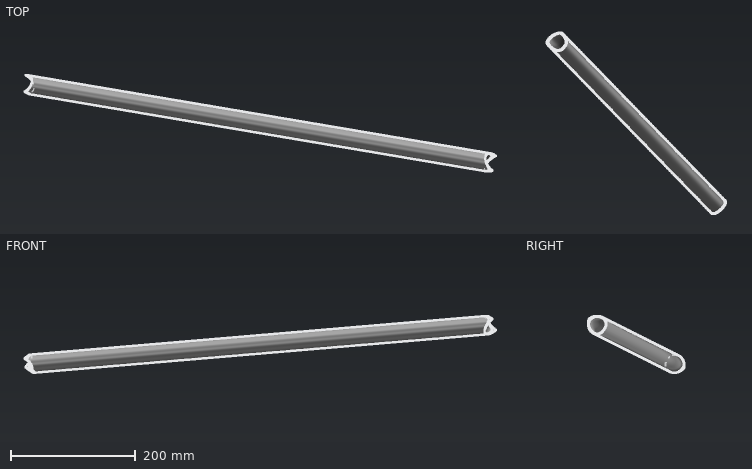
import cadquery as cq
tube_radius = 15.0
wall = 1.5

run_x = 754.4
run_y = -127.4
run_z = 63.9

near_upright_direction = cq.Vector(-0.125, 0.333, 0.943)
near_brace_direction = cq.Vector(-0.286, 0.934, 0.359)
far_upright_direction = cq.Vector(0.044, 0.587, 0.809)
near_brace_setback = 6.8

blank_overrun = 3 * tube_radius
cope_length = 12 * tube_radius

run = cq.Vector(run_x, run_y, run_z)
axis = run.normalized()
centre = cq.Vector(0, 0, 0)
near_node = run * -0.5
far_node = run * 0.5


def rod(middle, direction, radius, length):
    """Solid cylinder centred on a point, with its axis along a direction."""
    unit = direction.normalized()
    base = middle - unit * (length / 2)
    return cq.Workplane(cq.Solid.makeCylinder(radius, length, base, unit))


def tube_blank():
    """Straight tube that runs past both nodes, before its ends are coped."""
    length = run.Length + 2 * blank_overrun
    outside = rod(centre, axis, tube_radius, length)
    bore = rod(centre, axis, tube_radius - wall, length)
    return outside.cut(bore)


def cope(tube, crossing, direction):
    """Remove the outline of an equal tube whose axis passes through the crossing point."""
    return tube.cut(rod(crossing, direction, tube_radius, cope_length))


def main_piece(tube):
    """Solid between the copes, without the offcuts beyond them."""
    return max(tube.solids().vals(), key=lambda solid: solid.Volume())


coped = cope(tube_blank(), near_node, near_upright_direction)
coped = cope(coped, near_node - axis * near_brace_setback, near_brace_direction)
coped = cope(coped, far_node, far_upright_direction)

result = cq.Workplane(main_piece(coped))